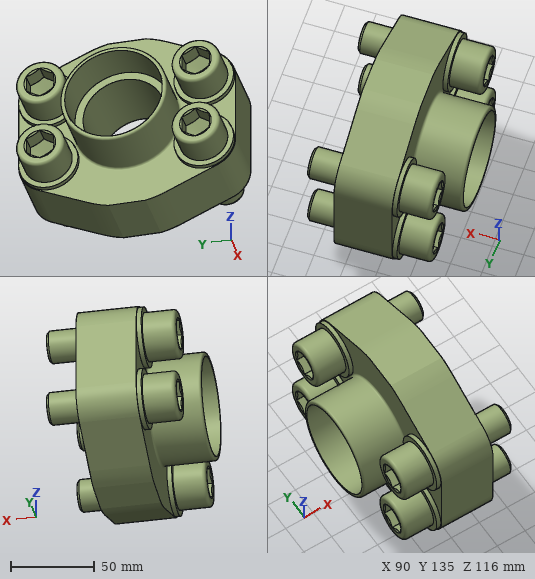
import cadquery as cq
import math

overall_length = 90.0
flange_width = 135.0
flange_height = 116.0
flange_thickness = 37.0
crown_radius = 59.1

bolt_spacing_y = 96.8
bolt_spacing_z = 44.4
shank_diameter = 20.0
shank_chamfer = 1.5
head_diameter = 30.0
head_height = 20.0
head_edge_radius = 2.2
washer_diameter = 37.0
washer_thickness = 3.0
hex_across_flats = 17.0
hex_turn = 30.0
hex_depth = 10.0
hex_lead_in_angle = 30.0
hex_floor_angle = 30.0

neck_length = 33.0
neck_diameter = 66.0
neck_tip_radius = 1.4
neck_base_radius = 1.5
socket_diameter = 60.8
socket_depth = 25.0
bore_diameter = 50.8

half_width = flange_width / 2
half_height = flange_height / 2
bolt_y = bolt_spacing_y / 2
bolt_z = bolt_spacing_z / 2
corner_radius = half_width - bolt_y
shank_end_x = overall_length - neck_length
head_face_x = -washer_thickness - head_height


def cylinder(diameter, x_start, x_end):
    """Cylinder on the X axis between two X positions."""
    return cq.Workplane("YZ", origin=(x_start, 0, 0)).circle(diameter / 2).extrude(x_end - x_start)


def flange_outline():
    """Outline with corners concentric to the bolts, tangent to crown arcs about the flange axis."""
    centre_distance = math.hypot(bolt_y, bolt_z)
    centre_angle = math.atan2(bolt_z, bolt_y)
    normal = centre_angle + math.acos((crown_radius - corner_radius) / centre_distance)

    def on_corner(angle):
        return bolt_y + corner_radius * math.cos(angle), bolt_z + corner_radius * math.sin(angle)

    def on_crown(angle):
        return crown_radius * math.cos(angle), crown_radius * math.sin(angle)

    flat_angle = math.asin(half_height / crown_radius)
    corner_arc = [on_corner(0), on_corner(normal / 2), on_corner(normal)]
    crown_arc = [on_crown(normal), on_crown((normal + flat_angle) / 2), on_crown(flat_angle)]

    def mirrored(arc, side_y, side_z):
        return [(side_y * y, side_z * z) for y, z in arc]

    arcs = []
    for side in (1, -1):
        arcs.append(mirrored(corner_arc, side, side))
        arcs.append(mirrored(crown_arc, side, side))
        arcs.append(mirrored(crown_arc, -side, side)[::-1])
        arcs.append(mirrored(corner_arc, -side, side)[::-1])

    outline = cq.Workplane("YZ").moveTo(*arcs[-1][-1])
    for start, middle, end in arcs:
        outline = outline.lineTo(*start).threePointArc(middle, end)
    return outline.close()


def weld_neck():
    """Tube with a rounded tip and a concave fillet where it meets the plate."""
    neck_radius = neck_diameter / 2
    return (
        cq.Workplane("XY")
        .moveTo(-neck_length, 0)
        .lineTo(-neck_length, neck_radius - neck_tip_radius)
        .radiusArc((-neck_length + neck_tip_radius, neck_radius), neck_tip_radius)
        .lineTo(-neck_base_radius, neck_radius)
        .radiusArc((0, neck_radius + neck_base_radius), -neck_base_radius)
        .lineTo(flange_thickness, neck_radius + neck_base_radius)
        .lineTo(flange_thickness, 0)
        .close()
        .revolve(360, (0, 0, 0), (1, 0, 0))
    )


def flange_with_neck():
    plate = flange_outline().extrude(flange_thickness)
    socket = cylinder(socket_diameter, -neck_length, socket_depth - neck_length)
    bore = cylinder(bore_diameter, -neck_length, flange_thickness)
    return plate.union(weld_neck()).cut(socket).cut(bore)


def cone_at(diameter, x_base, angle):
    """Cone pointing along +X whose side makes the given angle with its base plane."""
    radius = diameter / 2
    height = radius * math.tan(math.radians(angle))
    return cq.Workplane("XY").add(
        cq.Solid.makeCone(radius, 0, height, pnt=cq.Vector(x_base, 0, 0), dir=cq.Vector(1, 0, 0))
    )


def hex_socket():
    """Hexagonal drive recess with a conical lead-in and a drilled conical floor."""
    hex_across_corners = hex_across_flats / math.cos(math.pi / 6)
    floor_x = head_face_x + hex_depth
    drill = cylinder(hex_across_corners, head_face_x, floor_x).union(
        cone_at(hex_across_corners, floor_x, hex_floor_angle)
    )
    hexagon = (
        cq.Workplane("YZ", origin=(head_face_x, 0, 0))
        .transformed(rotate=(0, 0, hex_turn))
        .polygon(6, hex_across_corners)
        .extrude(head_height)
    )
    lead_in = cone_at(hex_across_corners, head_face_x, hex_lead_in_angle)
    return hexagon.intersect(drill).union(lead_in)


def socket_head_bolt():
    """Screw with washer on the X axis, seated on the plane X = 0."""
    head = cylinder(head_diameter, head_face_x, -washer_thickness).faces("<X").edges().fillet(head_edge_radius)
    washer = cylinder(washer_diameter, -washer_thickness, 0)
    shank = cylinder(shank_diameter, 0, shank_end_x).faces(">X").edges().chamfer(shank_chamfer)
    return head.union(washer).union(shank).cut(hex_socket())


result = flange_with_neck()
bolt = socket_head_bolt()
for y in (-bolt_y, bolt_y):
    for z in (-bolt_z, bolt_z):
        result = result.union(bolt.translate((0, y, z)))